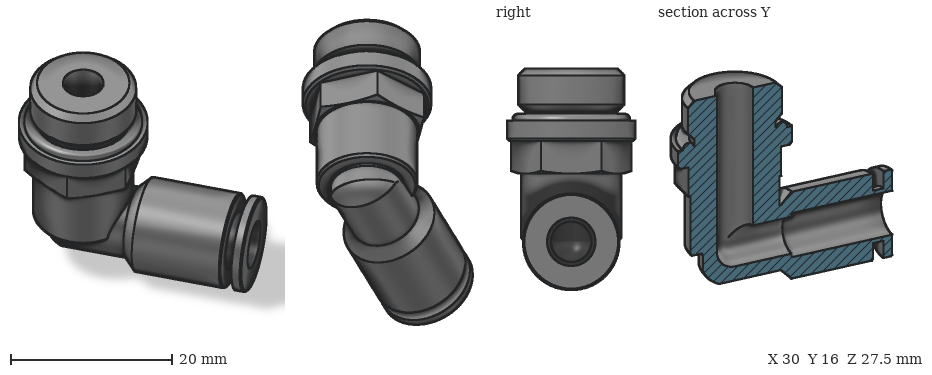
import cadquery as cq
import math


top_z = 21.5
thread_radius = 13.17 / 2
neck_radius = 11.45 / 2
thread_chamfer = thread_radius - neck_radius
thread_bottom_z = 16.17
flange_top_z = 15.03
flange_bottom_z = 12.48
flange_radius = 16.0 / 2
flange_chamfer = 0.35
ring_section_radius = 0.8
ring_overlap = 0.03
ring_centre_radius = neck_radius + ring_section_radius - ring_overlap
ring_centre_z = 15.1

hex_across_flats = 13.0
hex_bottom_z = 8.45
hex_corner_radius = hex_across_flats / math.sqrt(3)
hex_chamfer_height = 0.33

body_radius = 12.5 / 2
body_bottom_radius = 12.0 / 2
body_bottom_z = 0.2
body_chamfer_height = 0.4

collar_bottom_z = -0.05
collar_flare = 0.15

elbow_radius = 9.0 / 2
blend_radius = 4.5
blend_centre = -0.4
blend_end = -1.23

sleeve_radius = 6.0
cone_start_x = 6.42
cone_end_x = cone_start_x + sleeve_radius - elbow_radius
sleeve_end_x = 19.32
collet_start_x = 20.75
collet_radius = 7.3 / 2
end_x = 30 - flange_radius
edge_chamfer = 0.18

bore_radius = 5.0 / 2
socket_radius = 6.0 / 2


def make_stem():
    """Turned threaded end, flange and swivel body, without the hexagon."""
    profile = [
        (0, collar_bottom_z),
        (elbow_radius, collar_bottom_z),
        (elbow_radius + collar_flare, body_bottom_z),
        (body_bottom_radius, body_bottom_z),
        (body_radius, body_bottom_z + body_chamfer_height),
        (body_radius, flange_bottom_z),
        (flange_radius - flange_chamfer, flange_bottom_z),
        (flange_radius, flange_bottom_z + flange_chamfer),
        (flange_radius, flange_top_z),
        (neck_radius, flange_top_z),
        (neck_radius, thread_bottom_z),
        (thread_radius, thread_bottom_z + thread_chamfer),
        (thread_radius, top_z - thread_chamfer),
        (neck_radius, top_z),
        (0, top_z),
    ]
    return cq.Workplane("XZ").polyline(profile).close().revolve(360, (0, 0), (0, 1))


def make_ring():
    """Sealing ring partly sunk into the top of the flange."""
    return (
        cq.Workplane("XZ")
        .center(ring_centre_radius, ring_centre_z)
        .circle(ring_section_radius)
        .revolve(360, (-ring_centre_radius, 0), (-ring_centre_radius, 1))
    )


def make_hexagon():
    """Hexagon whose lower corners are trimmed by a cone."""
    prism = (
        cq.Workplane("XY", origin=(0, 0, hex_bottom_z))
        .transformed(rotate=(0, 0, 90))
        .polygon(6, 2 * hex_corner_radius)
        .extrude(flange_bottom_z - hex_bottom_z)
    )
    trim_profile = [
        (0, hex_bottom_z),
        (hex_across_flats / 2, hex_bottom_z),
        (hex_corner_radius, hex_bottom_z + hex_chamfer_height),
        (hex_corner_radius, flange_bottom_z),
        (0, flange_bottom_z),
    ]
    trim = cq.Workplane("XZ").polyline(trim_profile).close().revolve(360, (0, 0), (0, 1))
    return prism.intersect(trim)


def make_elbow():
    """Mitred corner of two equal cylinders, with its outer end rounded by a sphere."""
    reach = 2 * elbow_radius

    def prism(outline):
        return cq.Workplane("XZ").polyline(outline).close().extrude(reach, both=True)

    upright = (
        cq.Workplane("XY", origin=(0, 0, -elbow_radius))
        .circle(elbow_radius)
        .extrude(elbow_radius + body_bottom_z)
    )
    level = (
        cq.Workplane("YZ", origin=(-elbow_radius, 0, 0))
        .circle(elbow_radius)
        .extrude(elbow_radius + cone_start_x)
    )
    above_mitre = prism([(-reach, -reach), (reach, reach), (-reach, reach)])
    below_mitre = prism([(-reach, -reach), (reach, reach), (reach, -reach)])
    elbow = upright.intersect(above_mitre).union(level.intersect(below_mitre))

    outer_corner = prism(
        [(-reach, 0), (2 * blend_end, 0), (0, 2 * blend_end), (0, -reach), (-reach, -reach)]
    )
    blend_ball = cq.Workplane("XY").sphere(blend_radius).translate((blend_centre, 0, blend_centre))
    return elbow.cut(outer_corner.cut(blend_ball))


def make_connector():
    """Turned sleeve and release collet around the tube axis."""
    profile = [
        (cone_start_x, 0),
        (cone_start_x, elbow_radius),
        (cone_end_x, sleeve_radius),
        (sleeve_end_x - edge_chamfer, sleeve_radius),
        (sleeve_end_x, sleeve_radius - edge_chamfer),
        (sleeve_end_x, collet_radius),
        (collet_start_x, collet_radius),
        (collet_start_x, sleeve_radius),
        (end_x - edge_chamfer, sleeve_radius),
        (end_x, sleeve_radius - edge_chamfer),
        (end_x, 0),
    ]
    return cq.Workplane("XZ").polyline(profile).close().revolve(360, (0, 0), (1, 0))


def make_passage():
    """Bore turning through a spherical corner into the wider tube socket."""
    upright = cq.Workplane("XY").circle(bore_radius).extrude(top_z)
    level = cq.Workplane("YZ").circle(bore_radius).extrude(end_x)
    corner = cq.Workplane("XY").sphere(bore_radius)
    socket = (
        cq.Workplane("YZ", origin=(cone_end_x, 0, 0))
        .circle(socket_radius)
        .extrude(end_x - cone_end_x)
    )
    return upright.union(level).union(corner).union(socket)


result = (
    make_stem()
    .union(make_ring())
    .union(make_hexagon())
    .union(make_elbow())
    .union(make_connector())
    .cut(make_passage())
)